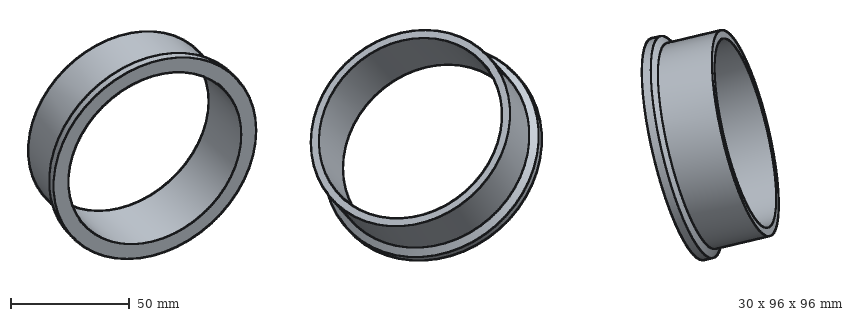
import cadquery as cq

length = 30.0
flange_radius = 48.0
tube_radius = 44.5
bore_radius = 40.9

rim_width = 4.0
cone_width = 2.0

rim_start = length - rim_width
cone_start = rim_start - cone_width

wall_section = [
    (0, bore_radius),
    (0, tube_radius),
    (cone_start, tube_radius),
    (rim_start, flange_radius),
    (length, flange_radius),
    (length, bore_radius),
]

result = (
    cq.Workplane("XY")
    .polyline(wall_section)
    .close()
    .revolve(360, (0, 0, 0), (1, 0, 0))
)